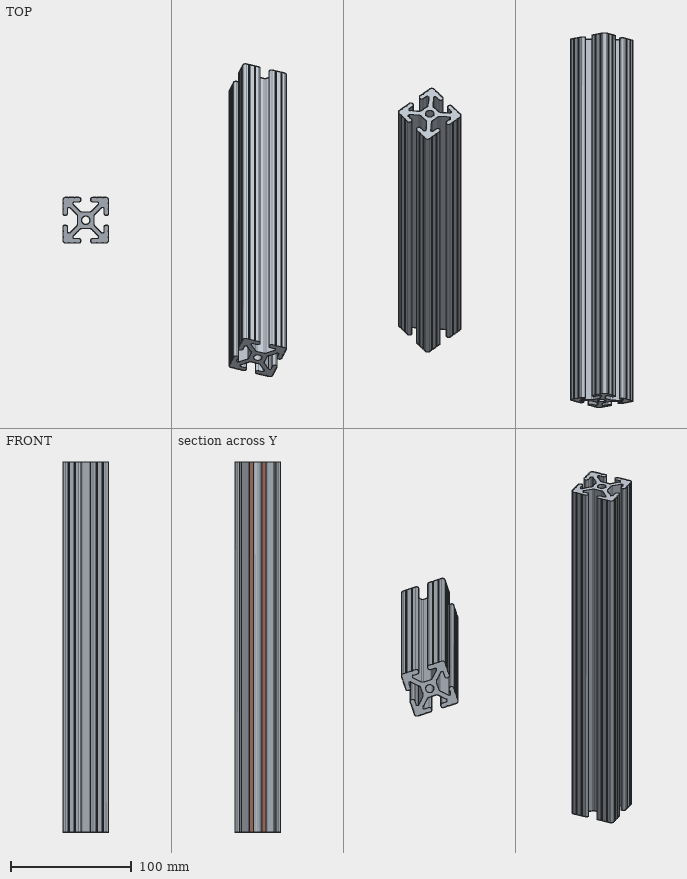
import cadquery as cq
import math

length = 306.5
side = 38.0
corner_radius = 2.4

slot_width = 8.0
lip_thickness = 4.0
lip_outer_radius = 1.87
lip_inner_radius = 1.8

cavity_width = 20.8
cavity_corner_radius = 1.0
web_thickness = 4.0
web_root_radius = 2.0
core_width = 13.8
bore_diameter = 6.7

groove_offsets = (9.2, 14.0)
groove_width = 1.1
groove_depth = 0.37

face_y = -side / 2
half_slot = slot_width / 2
half_cavity = cavity_width / 2
lip_inner_y = face_y + lip_thickness
core_y = -core_width / 2
web_shift = web_thickness / math.sqrt(2)
web_outer_y = -half_cavity - web_shift
web_root_x = core_width / 2 - web_shift


def make_bar():
    """Square bar with rounded long edges."""
    bar = cq.Workplane("XY").rect(side, side).extrude(length)
    return bar.edges("|Z").fillet(corner_radius)


def round_edges(body, x, y, radius):
    """Fillet the two lengthwise edges that stand at (x, y) and (-x, y)."""
    for edge_x in (x, -x):
        edge_middle = (edge_x, y, length / 2)
        body = body.edges("|Z").edges(cq.selectors.NearestToPointSelector(edge_middle)).fillet(radius)
    return body


def make_slot():
    """T-slot cutter: the mouth, the cavity behind the lips and the web flanks down to the core."""
    right_side = [
        (half_slot, face_y),
        (half_slot, lip_inner_y),
        (half_cavity, lip_inner_y),
        (half_cavity, web_outer_y),
        (web_root_x, core_y),
    ]
    left_side = [(-x, y) for x, y in reversed(right_side)]
    slot = cq.Workplane("XY").polyline(right_side + left_side).close().extrude(length)
    slot = round_edges(slot, half_slot, lip_inner_y, lip_inner_radius)
    slot = round_edges(slot, half_cavity, lip_inner_y, cavity_corner_radius)
    return round_edges(slot, web_root_x, core_y, web_root_radius)


def make_lip_rounding(direction):
    """Cutter that rounds the outer edge of one lip; direction is +1 or -1 along X."""
    arc_inset = lip_outer_radius * (1 - math.sqrt(0.5))
    return (
        cq.Workplane("XY")
        .moveTo(direction * (half_slot + lip_outer_radius), face_y)
        .threePointArc(
            (direction * (half_slot + arc_inset), face_y + arc_inset),
            (direction * half_slot, face_y + lip_outer_radius),
        )
        .lineTo(direction * half_slot, face_y)
        .close()
        .extrude(length)
    )


def make_groove(offset):
    """Shallow V-groove cutter at the given X."""
    return (
        cq.Workplane("XY")
        .moveTo(offset - groove_width / 2, face_y)
        .lineTo(offset, face_y + groove_depth)
        .lineTo(offset + groove_width / 2, face_y)
        .close()
        .extrude(length)
    )


face_cutters = [make_slot()]
for side_sign in (1, -1):
    face_cutters.append(make_lip_rounding(side_sign))
    for groove_offset in groove_offsets:
        face_cutters.append(make_groove(side_sign * groove_offset))

result = make_bar()
for quarter_turn in range(4):
    for cutter in face_cutters:
        result = result.cut(cutter.rotate((0, 0, 0), (0, 0, 1), 90 * quarter_turn))

bore = cq.Workplane("XY").circle(bore_diameter / 2).extrude(length)
result = result.cut(bore)